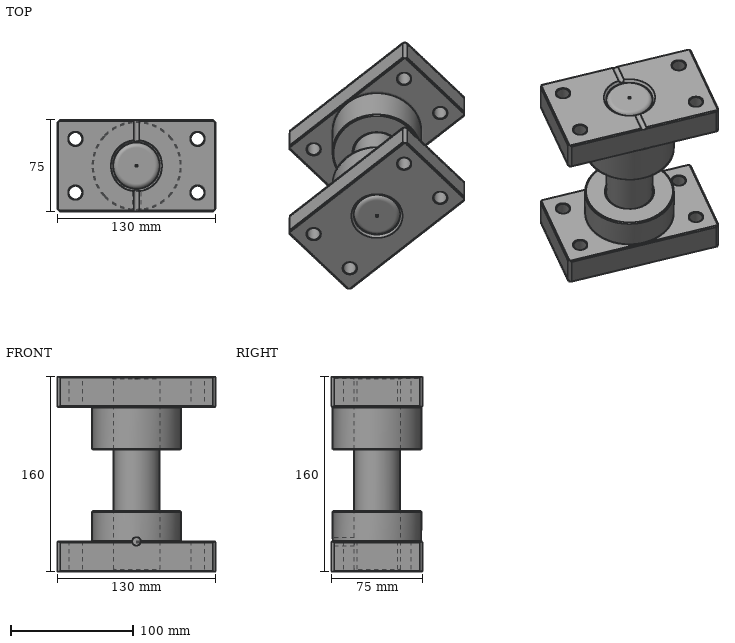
import cadquery as cq
total_height = 160.0
plate_length = 130.0
plate_width = 75.0
plate_thickness = 25.0
corner_chamfer = 2.5
edge_chamfer = 1.0

collar_diameter = 73.0
lower_collar_height = 25.0
upper_collar_height = 35.0
collar_chamfer = 1.0
undercut_width = 1.5
undercut_depth = 0.4

pillar_diameter = 38.0
pillar_end_radius = 4.0
outer_bore_chamfer = 2.0
inner_bore_chamfer = 1.25
center_hole_diameter = 2.0
center_hole_depth = 2.0

hole_diameter = 11.0
hole_chamfer = 0.5
hole_spacing_x = 100.0
hole_spacing_y = 44.0

cross_hole_diameter = 7.0
groove_radius = 2.5
groove_depth = 1.5


def mouth_cone(diameter, width, z_mouth, inward):
    """Cone for chamfering a round mouth at z_mouth; inward is +1 or -1, the Z way into the metal."""
    radius = diameter / 2
    cone = cq.Solid.makeCone(
        radius + width, radius, width, cq.Vector(0, 0, z_mouth), cq.Vector(0, 0, inward)
    )
    return cq.Workplane(obj=cone)


def make_undercut():
    """Wedge-shaped ring that relieves the corner between plate and collar."""
    collar_radius = collar_diameter / 2
    return (
        cq.Workplane("XZ")
        .moveTo(collar_radius + undercut_width, plate_thickness)
        .lineTo(collar_radius, plate_thickness + undercut_depth)
        .lineTo(collar_radius - undercut_depth, plate_thickness - undercut_depth)
        .close()
        .revolve(360, (0, 0, 0), (0, 1, 0))
    )


def make_block(collar_height):
    """Flange plate on Z = 0 with a collar on top, bored through for the pillar."""
    block_height = plate_thickness + collar_height
    plain_plate = cq.Workplane("XY").rect(plate_length, plate_width).extrude(plate_thickness)
    cropped_plate = plain_plate.edges("|Z").chamfer(corner_chamfer)
    plate = (
        plain_plate
        .faces("<Z or >Z")
        .edges()
        .chamfer(edge_chamfer)
        .intersect(cropped_plate)
    )
    collar = (
        cq.Workplane("XY")
        .circle(collar_diameter / 2)
        .extrude(block_height)
        .faces(">Z")
        .edges()
        .chamfer(collar_chamfer)
    )
    bore = cq.Workplane("XY").circle(pillar_diameter / 2).extrude(block_height)
    block = plate.union(collar).cut(bore).cut(make_undercut())
    block = block.cut(mouth_cone(pillar_diameter, outer_bore_chamfer, 0, 1))
    block = block.cut(mouth_cone(pillar_diameter, inner_bore_chamfer, block_height, -1))

    hole = (
        cq.Workplane("XY")
        .circle(hole_diameter / 2)
        .extrude(plate_thickness)
        .union(mouth_cone(hole_diameter, hole_chamfer, 0, 1))
        .union(mouth_cone(hole_diameter, hole_chamfer, plate_thickness, -1))
    )
    for side_x in (-1, 1):
        for side_y in (-1, 1):
            place = (side_x * hole_spacing_x / 2, side_y * hole_spacing_y / 2, 0)
            block = block.cut(hole.translate(place))
    return block


def make_lower_block():
    """Lower block with a cross hole from the -Y side into the bore, level with the plate top."""
    cross_hole = (
        cq.Workplane("XZ", origin=(0, 0, plate_thickness))
        .circle(cross_hole_diameter / 2)
        .extrude(plate_width / 2)
    )
    pillar_space = cq.Workplane("XY").circle(pillar_diameter / 2).extrude(total_height)
    return make_block(lower_collar_height).cut(cross_hole.cut(pillar_space))


def make_upper_block():
    """Upper block, collar down, with a round-bottomed vent groove along Y in its top face."""
    block = (
        make_block(upper_collar_height)
        .rotate((0, 0, 0), (1, 0, 0), 180)
        .translate((0, 0, total_height))
    )
    groove_axis_z = total_height - groove_depth + groove_radius
    groove = (
        cq.Workplane("XZ", origin=(0, 0, groove_axis_z))
        .circle(groove_radius)
        .extrude(plate_width / 2, both=True)
    )
    return block.cut(groove)


def make_pillar():
    """Round-ended pillar with a small centre hole in each end."""
    pillar = (
        cq.Workplane("XY")
        .circle(pillar_diameter / 2)
        .extrude(total_height)
        .faces("<Z or >Z")
        .edges()
        .fillet(pillar_end_radius)
    )
    center_hole = cq.Workplane("XY").circle(center_hole_diameter / 2).extrude(center_hole_depth)
    pillar = pillar.cut(center_hole)
    return pillar.cut(center_hole.translate((0, 0, total_height - center_hole_depth)))


lower_block = make_lower_block()
upper_block = make_upper_block()
pillar = make_pillar()

result = cq.Compound.makeCompound([lower_block.val(), upper_block.val(), pillar.val()])